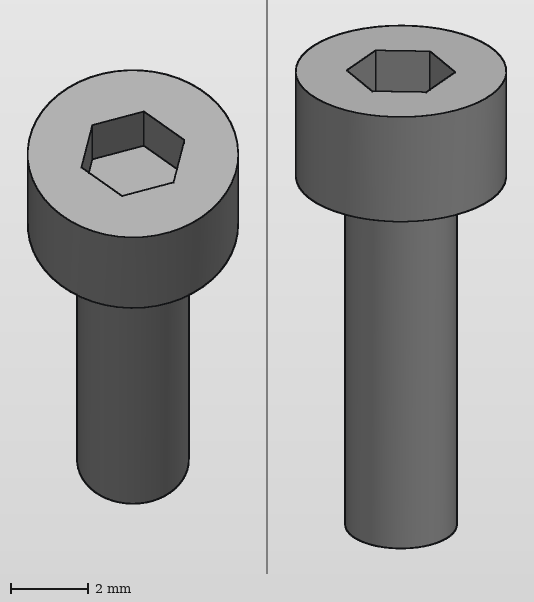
import cadquery as cq
import math

total_length = 13.0
head_diameter = 5.45
head_height = 3.0
shank_diameter = 2.9
shank_length = total_length - head_height

socket_across_flats = 2.43
socket_across_corners = socket_across_flats / math.cos(math.pi / 6)
socket_depth = 1.45

shank = cq.Workplane("XY").circle(shank_diameter / 2).extrude(shank_length)

head = (
    cq.Workplane("XY")
    .workplane(offset=shank_length)
    .circle(head_diameter / 2)
    .extrude(head_height)
)

socket = (
    cq.Workplane("XY")
    .workplane(offset=total_length - socket_depth)
    .polygon(6, socket_across_corners)
    .extrude(socket_depth)
)

result = shank.union(head).cut(socket)